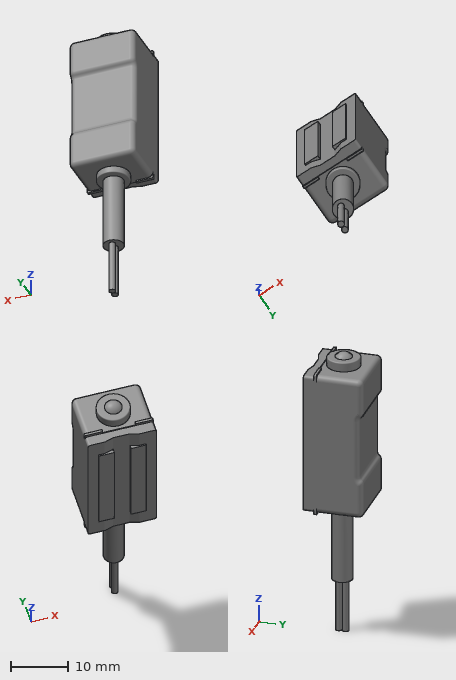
import cadquery as cq
import math

TOTAL_HEIGHT = 53.65
WIDTH = 12.5
DEPTH = 11.1

BACK_Y = 5.5
HOUSING_DEPTH = 8.4
FLANGE_THICKNESS = 0.5
RIB_HEIGHT = 0.25
RIB_FACE_Y = BACK_Y - DEPTH
PLATE_FACE_Y = RIB_FACE_Y + RIB_HEIGHT
HOUSING_FRONT_Y = BACK_Y - HOUSING_DEPTH
FLANGE_FRONT_Y = HOUSING_FRONT_Y - FLANGE_THICKNESS
JOINT_OVERLAP = 0.55

MID_Z = 38.0
FLANGE_HEIGHT = 26.95
HOUSING_HEIGHT = 26.4
PLATE_HEIGHT = 25.95
RIB_LENGTH = 19.25
HOUSING_TOP_Z = MID_Z + HOUSING_HEIGHT / 2
HOUSING_BOTTOM_Z = MID_Z - HOUSING_HEIGHT / 2

HOUSING_FILLET = 0.95
FLANGE_FILLET = 0.2
PLATE_FILLET = 0.5

RECESS_DEPTH = 0.7
RECESS_FLOOR_LENGTH = 10.7
RAMP_RADIUS = 1.0

GROOVE_FLOOR_WIDTH = 3.05
GROOVE_MOUTH_WIDTH = 6.35
GROOVE_DEPTH = 0.5
RIB_SPAN = 8.65

BOSS_RADIUS = 3.0
INDICATOR_Y = 0.25
DOME_RADIUS = 1.55
DOME_HEIGHT = 0.8
INDICATOR_FILLET = 0.2
INDICATOR_TOP_Z = TOTAL_HEIGHT - DOME_HEIGHT

OUTLET_BOTTOM_Z = 23.5
OUTLET_FILLET = 0.15
CABLE_RADIUS = 1.9
CABLE_BOTTOM_Z = 10.0
WIRE_RADIUS = 0.6
WIRE_SPACING = 1.25


def slab(width, height, front_y, back_y):
    """Block centred on X = 0 and on MID_Z, between two Y stations."""
    block = cq.Workplane("XY").box(width, back_y - front_y, height)
    return block.translate((0, (front_y + back_y) / 2, MID_Z))


def cylinder(radius, bottom_z, top_z, y=0.0):
    """Upright round bar on X = 0."""
    return cq.Workplane("XY", origin=(0, y, bottom_z)).circle(radius).extrude(top_z - bottom_z)


def make_housing():
    ramp_angle = math.acos(1 - RECESS_DEPTH / (2 * RAMP_RADIUS))
    ramp_length = 2 * RAMP_RADIUS * math.sin(ramp_angle)
    arc_sag = RAMP_RADIUS * (1 - math.cos(ramp_angle / 2))
    arc_rise = RAMP_RADIUS * math.sin(ramp_angle / 2)
    floor_y = BACK_Y - RECESS_DEPTH
    ramp_mid_y = BACK_Y - RECESS_DEPTH / 2
    floor_end = RECESS_FLOOR_LENGTH / 2
    ramp_mid = floor_end + ramp_length / 2
    ramp_end = floor_end + ramp_length
    convex_mid = (BACK_Y - arc_sag, ramp_end - arc_rise)
    concave_mid = (floor_y + arc_sag, floor_end + arc_rise)
    half_height = HOUSING_HEIGHT / 2

    housing = (
        cq.Workplane("YZ", origin=(-WIDTH / 2, 0, MID_Z))
        .moveTo(HOUSING_FRONT_Y, half_height)
        .lineTo(BACK_Y, half_height)
        .lineTo(BACK_Y, ramp_end)
        .threePointArc(convex_mid, (ramp_mid_y, ramp_mid))
        .threePointArc(concave_mid, (floor_y, floor_end))
        .lineTo(floor_y, -floor_end)
        .threePointArc((concave_mid[0], -concave_mid[1]), (ramp_mid_y, -ramp_mid))
        .threePointArc((convex_mid[0], -convex_mid[1]), (BACK_Y, -ramp_end))
        .lineTo(BACK_Y, -half_height)
        .lineTo(HOUSING_FRONT_Y, -half_height)
        .close()
        .extrude(WIDTH)
    )
    side_edges = housing.faces("<X or >X").edges("not <Y")
    end_edges = housing.faces(">Z or <Z").edges("|X and >Y")
    return housing.newObject(side_edges.vals() + end_edges.vals()).fillet(HOUSING_FILLET)


def make_flange():
    flange = slab(WIDTH, FLANGE_HEIGHT, FLANGE_FRONT_Y, HOUSING_FRONT_Y)
    flange = flange.edges("|Y").fillet(FLANGE_FILLET)
    relief = slab(2 * BOSS_RADIUS, FLANGE_HEIGHT, FLANGE_FRONT_Y, HOUSING_FRONT_Y)
    relief = relief.cut(slab(WIDTH, HOUSING_HEIGHT, FLANGE_FRONT_Y, HOUSING_FRONT_Y))
    return flange.cut(relief)


def make_plate():
    plate = slab(WIDTH, PLATE_HEIGHT, PLATE_FACE_Y, FLANGE_FRONT_Y)
    plate = plate.edges("|Y").fillet(PLATE_FILLET)
    floor_y = PLATE_FACE_Y + GROOVE_DEPTH
    groove = (
        cq.Workplane("XY", origin=(0, 0, MID_Z))
        .polyline([
            (-GROOVE_MOUTH_WIDTH / 2, PLATE_FACE_Y),
            (-GROOVE_FLOOR_WIDTH / 2, floor_y),
            (GROOVE_FLOOR_WIDTH / 2, floor_y),
            (GROOVE_MOUTH_WIDTH / 2, PLATE_FACE_Y),
        ])
        .close()
        .extrude(PLATE_HEIGHT / 2, both=True)
    )
    plate = plate.cut(groove)
    rib_root_y = floor_y + JOINT_OVERLAP
    ribs = slab(RIB_SPAN, RIB_LENGTH, RIB_FACE_Y, rib_root_y)
    ribs = ribs.cut(slab(GROOVE_FLOOR_WIDTH, RIB_LENGTH, RIB_FACE_Y, floor_y))
    return plate.union(ribs)


def make_indicator():
    boss = cylinder(BOSS_RADIUS, HOUSING_TOP_Z - JOINT_OVERLAP, INDICATOR_TOP_Z, INDICATOR_Y)
    boss = boss.faces(">Z").edges().fillet(INDICATOR_FILLET)
    sphere_radius = (DOME_RADIUS**2 + DOME_HEIGHT**2) / (2 * DOME_HEIGHT)
    dome = cq.Workplane("XY").sphere(sphere_radius)
    dome = dome.translate((0, INDICATOR_Y, TOTAL_HEIGHT - sphere_radius))
    dome = dome.intersect(cylinder(BOSS_RADIUS, INDICATOR_TOP_Z, TOTAL_HEIGHT, INDICATOR_Y))
    return boss.union(dome)


def make_cable():
    outlet = cylinder(BOSS_RADIUS, OUTLET_BOTTOM_Z, HOUSING_BOTTOM_Z + JOINT_OVERLAP)
    outlet = outlet.faces("<Z").edges().fillet(OUTLET_FILLET)
    cable = outlet.union(cylinder(CABLE_RADIUS, CABLE_BOTTOM_Z, OUTLET_BOTTOM_Z + JOINT_OVERLAP))
    for side in (-1, 1):
        wire_y = side * WIRE_SPACING / 2
        cable = cable.union(cylinder(WIRE_RADIUS, 0, CABLE_BOTTOM_Z + JOINT_OVERLAP, wire_y))
    return cable


result = (
    make_housing()
    .union(make_flange())
    .union(make_plate())
    .union(make_indicator())
    .union(make_cable())
)